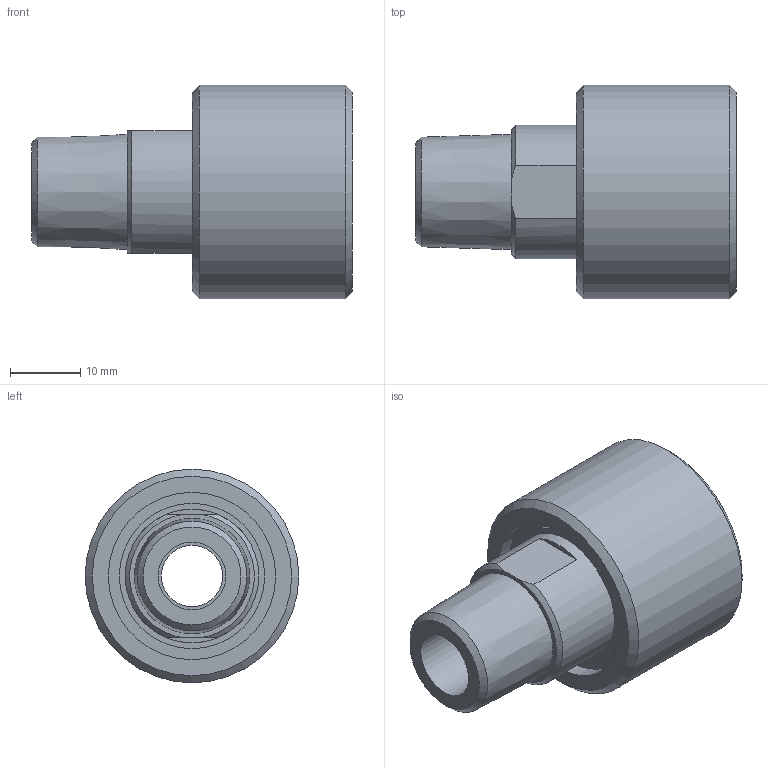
import cadquery as cq

overall_length = 45.77
shoulder_x = 13.65
body_length = 22.86
body_face_x = overall_length - body_length
tip_chamfer = 0.83

taper_on_diameter = 1 / 16
nose_start_radius = 15.64 / 2
nose_end_radius = nose_start_radius + (shoulder_x - tip_chamfer) * taper_on_diameter / 2

neck_radius = 19.05 / 2
neck_chamfer = 0.635
flat_width_across = 17.53
flat_length = 9.3

body_radius = 30.48 / 2
body_chamfer = 1.016

recess_radius = 23.88 / 2
recess_depth = 2.2
collar_radius = 20.73 / 2
collar_height = 0.38

nose_bore_diameter = 9.65
through_bore_diameter = 8.74


def revolve_profile(points):
    """Revolve a closed (x, radius) outline around the X axis."""
    return cq.Workplane("XY").polyline(points).close().revolve(360, (0, 0, 0), (1, 0, 0))


def make_turned_body():
    recess_floor_x = body_face_x + recess_depth
    collar_face_x = recess_floor_x - collar_height
    outline = [
        (0, 0),
        (0, nose_start_radius - tip_chamfer),
        (tip_chamfer, nose_start_radius),
        (shoulder_x, nose_end_radius),
        (shoulder_x, neck_radius - neck_chamfer),
        (shoulder_x + neck_chamfer, neck_radius),
        (collar_face_x, neck_radius),
        (collar_face_x, collar_radius),
        (recess_floor_x, collar_radius),
        (recess_floor_x, recess_radius),
        (body_face_x, recess_radius),
        (body_face_x, body_radius - body_chamfer),
        (body_face_x + body_chamfer, body_radius),
        (overall_length - body_chamfer, body_radius),
        (overall_length, body_radius - body_chamfer),
        (overall_length, 0),
    ]
    return revolve_profile(outline)


def cut_wrench_flats(part):
    """Cut flats on the +Z and -Z sides of the neck, starting at the shoulder.

    The cutter is a collar-sized disc, so it clears the neck but fits inside the recess wall.
    """
    disc = cq.Workplane("YZ").workplane(offset=shoulder_x).circle(collar_radius).extrude(flat_length)
    kept_slab = cq.Workplane("XY").box(2 * overall_length, 2 * body_radius, flat_width_across)
    return part.cut(disc.cut(kept_slab))


def cut_bore(part):
    through_bore = cq.Workplane("YZ").circle(through_bore_diameter / 2).extrude(overall_length)
    nose_bore = cq.Workplane("YZ").circle(nose_bore_diameter / 2).extrude(shoulder_x)
    return part.cut(through_bore).cut(nose_bore)


result = cut_bore(cut_wrench_flats(make_turned_body()))